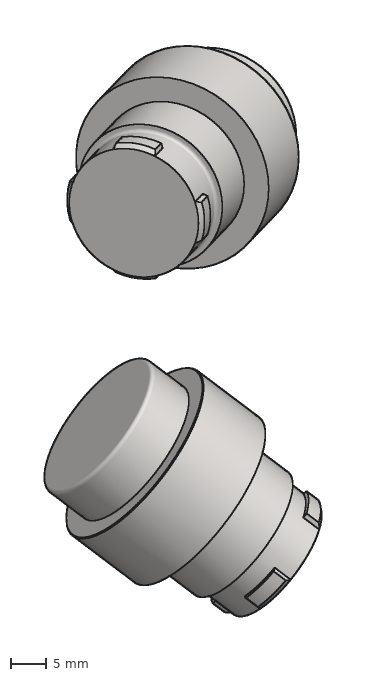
import cadquery as cq

LENGTH = 34.0
NECK_END = 6.5
COLLAR_START = 15.03
COLLAR_END = 26.95

NECK_DIAMETER = 19.8
BARREL_DIAMETER = 22.0
COLLAR_DIAMETER = 29.5
REAR_DIAMETER = 23.5

NECK_FILLET = 0.5
REAR_ROUND = 0.55
COLLAR_CHAMFER = 0.15

LUG_COUNT = 4
LUG_DIAMETER = 21.05
LUG_LENGTH = 3.05
LUG_ROOT_HEIGHT = 9.3
LUG_ROOT_WIDTH = 6.45
LUG_TIP_HEIGHT = 10.05
LUG_TIP_WIDTH = 6.02
LUG_CHAMFER_LENGTH = 0.75


def cylinder(diameter, start, end):
    """Solid cylinder along +Y between two stations."""
    plane = cq.Workplane("XZ", origin=(0, start, 0))
    return plane.circle(diameter / 2).extrude(start - end)


def make_body():
    """Neck, barrel, collar and rear boss on one axis."""
    neck = cylinder(NECK_DIAMETER, 0, NECK_END)
    barrel = cylinder(BARREL_DIAMETER, NECK_END, COLLAR_START)
    collar = cylinder(COLLAR_DIAMETER, COLLAR_START, COLLAR_END)
    collar = collar.faces(">Y").edges().chamfer(COLLAR_CHAMFER)
    rear = cylinder(REAR_DIAMETER, COLLAR_END, LENGTH)
    rear = rear.faces(">Y").edges().fillet(REAR_ROUND)
    return neck.union(barrel).union(collar).union(rear)


def make_neck_fillet():
    """Ring with a concave quarter-round between the neck and the barrel shoulder."""
    radius = NECK_DIAMETER / 2
    arc_center = (radius + NECK_FILLET, NECK_END - NECK_FILLET)
    diagonal = NECK_FILLET / 2**0.5
    inner_radius = radius - NECK_FILLET
    return (
        cq.Workplane("XY")
        .moveTo(inner_radius, NECK_END - NECK_FILLET)
        .lineTo(radius, NECK_END - NECK_FILLET)
        .threePointArc(
            (arc_center[0] - diagonal, arc_center[1] + diagonal),
            (radius + NECK_FILLET, NECK_END),
        )
        .lineTo(inner_radius, NECK_END)
        .close()
        .revolve(360, (0, 0, 0), (0, 1, 0))
    )


def make_lugs():
    """Segments of a ring whose front edge tapers down to the neck."""
    ring = (
        cq.Workplane("XY")
        .polyline([
            (0, 0),
            (NECK_DIAMETER / 2, 0),
            (LUG_DIAMETER / 2, LUG_CHAMFER_LENGTH),
            (LUG_DIAMETER / 2, LUG_LENGTH),
            (0, LUG_LENGTH),
        ])
        .close()
        .revolve(360, (0, 0, 0), (0, 1, 0))
    )
    side_slope = (LUG_ROOT_WIDTH - LUG_TIP_WIDTH) / (LUG_TIP_HEIGHT - LUG_ROOT_HEIGHT)
    top_height = LUG_DIAMETER / 2
    top_width = LUG_ROOT_WIDTH - side_slope * (top_height - LUG_ROOT_HEIGHT)
    wedge = (
        cq.Workplane("XZ")
        .polyline([
            (-LUG_ROOT_WIDTH / 2, LUG_ROOT_HEIGHT),
            (LUG_ROOT_WIDTH / 2, LUG_ROOT_HEIGHT),
            (top_width / 2, top_height),
            (-top_width / 2, top_height),
        ])
        .close()
        .extrude(-LUG_LENGTH)
    )
    lug = ring.intersect(wedge)
    lugs = lug
    for index in range(1, LUG_COUNT):
        lugs = lugs.union(lug.rotate((0, 0, 0), (0, 1, 0), index * 360 / LUG_COUNT))
    return lugs


result = make_body().union(make_neck_fillet()).union(make_lugs())